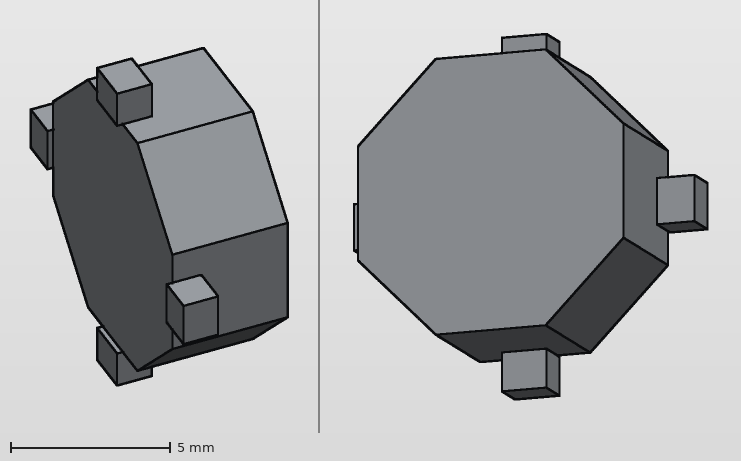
import cadquery as cq
import math

overall_span = 11.43
body_across_flats = 8.92
body_depth = 4.0
terminal_width = 1.5
terminal_depth = 1.2
terminal_standoff = 0.2

octagon_sides = 8
terminal_count = 4

body_across_corners = body_across_flats / math.cos(math.pi / octagon_sides)
terminal_length = (overall_span - body_across_flats) / 2
terminal_center_radius = (body_across_flats + terminal_length) / 2
terminal_center_y = terminal_depth / 2 - terminal_standoff


def make_body():
    """Octagonal housing with flats facing the X and Z directions."""
    return (
        cq.Workplane("XZ")
        .transformed(rotate=(0, 0, 180 / octagon_sides))
        .polygon(octagon_sides, body_across_corners)
        .extrude(-body_depth)
    )


def make_terminal(angle):
    """Rectangular terminal against one flat, turned about the Y axis."""
    return (
        cq.Workplane("XY")
        .box(terminal_length, terminal_depth, terminal_width)
        .translate((terminal_center_radius, terminal_center_y, 0))
        .rotate((0, 0, 0), (0, 1, 0), angle)
    )


body = make_body()
terminals = [make_terminal(i * 360 / terminal_count) for i in range(terminal_count)]

result = cq.Compound.makeCompound([body.val(), *[terminal.val() for terminal in terminals]])